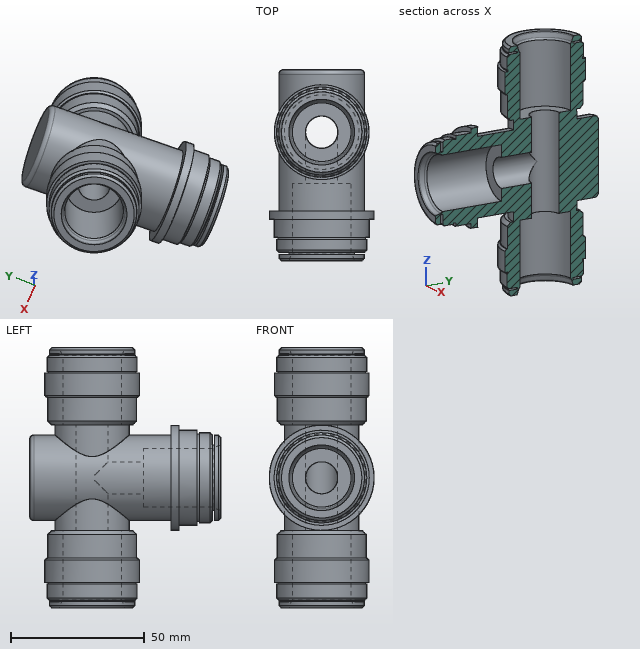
import cadquery as cq

overall_height = 97.8
branch_reach = overall_height / 2
front_reach = 48.3
back_reach = 23.5

body_diameter = 32.2
back_edge_radius = 1.8
neck_diameter = 28.0

collet_diameter = 32.1
collet_chamfer = 1.0
collet_thickness = 2.4
collet_stem_diameter = 24.6

branch_cap_start = 2.9
front_cap_start = 3.2
cap_diameter = 33.8
cap_chamfer = 0.9
cap_groove_diameter = 33.0

branch_groove_start = 9.1
band_start = 9.6
band_diameter = 35.6
band_chamfer = 0.8
barrel_start = 18.8
barrel_diameter = 33.4
barrel_chamfer = 1.5
neck_start = 29.0

front_groove_start = 8.1
sleeve_start = 8.9
sleeve_diameter = 35.7
flange_start = 15.6
flange_end = 18.8
flange_diameter = 39.4

tube_bore_diameter = 22.0
tube_bore_depth = neck_start
mouth_diameter = 24.6
mouth_lip_diameter = 24.3
mouth_lip_depth = 0.4
mouth_throat_diameter = 23.1
mouth_throat_depth = 2.25
mouth_end_depth = 3.0
flow_diameter = 12.0


def section(reach, start, end, diameter):
    """Cylinder on Z between two depths measured inward from a port tip at Z = reach."""
    return cq.Workplane("XY").workplane(offset=reach - end).circle(diameter / 2).extrude(end - start)


def cone(reach, start, end, outer_diameter, inner_diameter):
    """Cone on Z, outer_diameter at the shallow end and inner_diameter at the deep end."""
    profile = [
        (0, reach - start),
        (outer_diameter / 2, reach - start),
        (inner_diameter / 2, reach - end),
        (0, reach - end),
    ]
    return cq.Workplane("XZ").polyline(profile).close().revolve(360, (0, 0, 0), (0, 1, 0))


def port_end(reach, cap_start, groove_start, socket_start):
    """Collet, stem, cap and the groove between the cap and the socket."""
    collet = section(reach, 0, collet_thickness, collet_diameter).faces(">Z").chamfer(collet_chamfer)
    stem = section(reach, collet_thickness, cap_start, collet_stem_diameter)
    cap = section(reach, cap_start, groove_start, cap_diameter).faces(">Z").chamfer(cap_chamfer)
    groove = section(reach, groove_start, socket_start, cap_groove_diameter)
    return collet.union(stem).union(cap).union(groove)


def port_bore(reach):
    """Tube bore with a lipped, tapered mouth."""
    lip = cone(reach, 0, mouth_lip_depth, mouth_diameter, mouth_lip_diameter)
    taper = cone(reach, mouth_lip_depth, mouth_throat_depth, mouth_lip_diameter, mouth_throat_diameter)
    throat = cone(reach, mouth_throat_depth, mouth_end_depth, mouth_throat_diameter, tube_bore_diameter)
    tube = section(reach, mouth_end_depth, tube_bore_depth, tube_bore_diameter)
    flow = section(reach, tube_bore_depth, reach, flow_diameter)
    return lip.union(taper).union(throat).union(tube).union(flow)


def branch():
    band = section(branch_reach, band_start, barrel_start, band_diameter).faces("<Z").chamfer(band_chamfer)
    barrel = section(branch_reach, barrel_start, neck_start, barrel_diameter)
    barrel = barrel.faces("<Z").chamfer(barrel_chamfer)
    neck = section(branch_reach, neck_start, branch_reach, neck_diameter)
    end = port_end(branch_reach, branch_cap_start, branch_groove_start, band_start)
    return end.union(band).union(barrel).union(neck)


def main_body():
    """Main body along Z with its front port facing up."""
    sleeve = section(front_reach, sleeve_start, flange_start, sleeve_diameter)
    flange = section(front_reach, flange_start, flange_end, flange_diameter)
    tube = section(front_reach, flange_end, front_reach + back_reach, body_diameter)
    tube = tube.faces("<Z").edges().fillet(back_edge_radius)
    end = port_end(front_reach, front_cap_start, front_groove_start, sleeve_start)
    return end.union(sleeve).union(flange).union(tube)


def turn(shape, angle):
    """Rotate about X: 90 degrees points a port along -Y, 180 degrees along -Z."""
    return shape.rotate((0, 0, 0), (1, 0, 0), angle)


result = turn(main_body(), 90)
branch_angles = (0, 180)
for angle in branch_angles:
    result = result.union(turn(branch(), angle))

result = result.cut(turn(port_bore(front_reach), 90))
for angle in branch_angles:
    result = result.cut(turn(port_bore(branch_reach), angle))